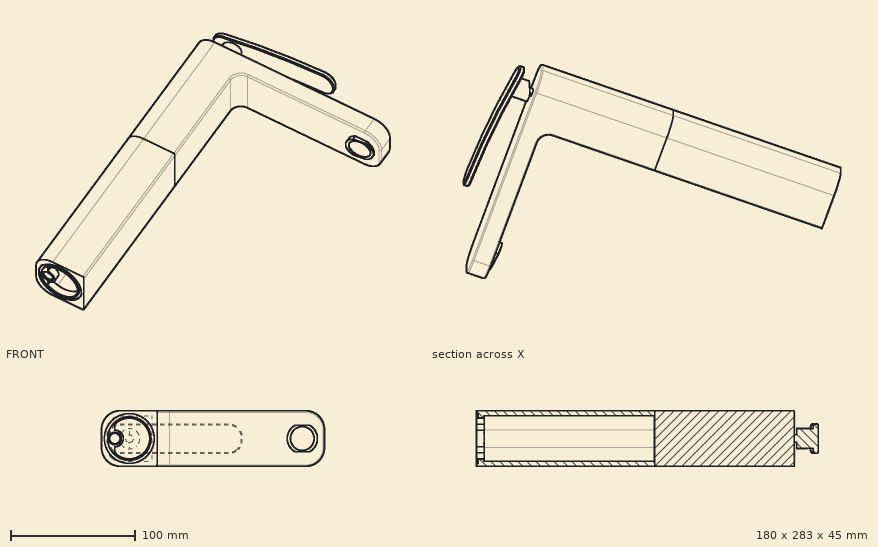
import cadquery as cq


COLUMN_WIDTH = 45.0
HALF_WIDTH = COLUMN_WIDTH / 2
SPOUT_REACH = 180.0
SPOUT_THICKNESS = 15.8
BODY_TOP = 256.5
SEAM_Y = 143.5
CORNER_RADIUS = 15.3
ELBOW_RADIUS = 10.0
EDGE_RADIUS = 1.5
RIM_RADIUS = 1.0
SPOUT_END = SPOUT_REACH - HALF_WIDTH
SPOUT_UNDERSIDE = BODY_TOP - SPOUT_THICKNESS

WALL = 4.2
BASE_THICKNESS = 6.2
SEAL_GROOVE_OUTER_RADIUS = 20.0
SEAL_GROOVE_INNER_RADIUS = 17.5
SEAL_GROOVE_DEPTH = 1.5
OPENING_RADIUS = 16.5
STUD_X = -11.5
STUD_HOLE_RADIUS = 4.2
STUD_HOLE_CHAMFER = 0.8
STUD_HOLE_CHAMFER_ANGLE = 45
STUD_BOSS_RADIUS = 6.8

AERATOR_X = 139.5
AERATOR_RADIUS = 12.2
AERATOR_FLATS = 21.5
AERATOR_DEPTH = 2.8
AERATOR_TILT = 7
AERATOR_FACE_RADIUS = 9.5
AERATOR_FACE_RECESS = 0.5

LEVER_BACK = -16.7
LEVER_TIP = 90.8
LEVER_WIDTH = 23.8
LEVER_TOP = 283
LEVER_BACK_TOP = 273.0
LEVER_THICKNESS = 4.5
LEVER_BOW = 2.3
LEVER_BACK_RADIUS = 8.5
LEVER_TIP_RADIUS = 10.8
LEVER_CHAMFER = 0.8
POST_RADIUS = 8.2
POST_GAP = 1.7
POST_RELIEF_HEIGHT = 3.7
STEM_RADIUS = 3.0


def cylinder_y(radius, start_y, end_y, x=0):
    """Cylinder parallel to Y between two Y positions."""
    return cq.Workplane("XZ", origin=(x, start_y, 0)).circle(radius).extrude(start_y - end_y)


def box_between(x_range, y_range, z_width):
    """Box spanning the X and Y ranges, centred on Z = 0."""
    x_size = x_range[1] - x_range[0]
    y_size = y_range[1] - y_range[0]
    box = cq.Workplane("XY").box(x_size, y_size, z_width, centered=(False, False, True))
    return box.translate((x_range[0], y_range[0], 0))


def make_faucet_envelope():
    """Whole L-shaped outside of column and spout, before it is divided at the seam."""
    envelope = (
        cq.Workplane("XY")
        .moveTo(-HALF_WIDTH, 0)
        .lineTo(HALF_WIDTH, 0)
        .lineTo(HALF_WIDTH, SPOUT_UNDERSIDE)
        .lineTo(SPOUT_END, SPOUT_UNDERSIDE)
        .lineTo(SPOUT_END, BODY_TOP)
        .lineTo(-HALF_WIDTH, BODY_TOP)
        .close()
        .extrude(HALF_WIDTH, both=True)
    )
    envelope = envelope.edges("|Y and (<X or >X)").fillet(CORNER_RADIUS)
    inner_corner = cq.selectors.NearestToPointSelector((HALF_WIDTH, SPOUT_UNDERSIDE, 0))
    envelope = envelope.edges("|Z").edges(inner_corner).fillet(ELBOW_RADIUS)
    column_front_edge = cq.selectors.NearestToPointSelector((HALF_WIDTH, SEAM_Y, HALF_WIDTH))
    envelope = envelope.edges("|Y").edges(column_front_edge).fillet(EDGE_RADIUS)
    return envelope.faces(">Y").edges().fillet(RIM_RADIUS)


def make_spout_body(envelope):
    """Upper body: top of the column with the spout."""
    upper_half = box_between((-HALF_WIDTH, SPOUT_END), (SEAM_Y, BODY_TOP), COLUMN_WIDTH)
    return envelope.intersect(upper_half)


def make_riser_hollow():
    """Inside of the riser, parallel to its outside walls."""
    inner_half = HALF_WIDTH - WALL
    hollow = box_between((-inner_half, inner_half), (BASE_THICKNESS, SEAM_Y), 2 * inner_half)
    return hollow.edges("|Y and <X").fillet(CORNER_RADIUS - WALL)


def make_base_opening():
    """Round hose opening, leaving the plate solid around and behind the stud boss."""
    opening = cylinder_y(OPENING_RADIUS, 0, BASE_THICKNESS)
    front_of_stud = box_between((STUD_X, HALF_WIDTH), (0, BASE_THICKNESS), COLUMN_WIDTH)
    stud_boss = cylinder_y(STUD_BOSS_RADIUS, 0, BASE_THICKNESS, STUD_X)
    return opening.intersect(front_of_stud).cut(stud_boss)


def make_stud_hole():
    """Hole for the fixing stud, chamfered at its mouth."""
    hole = cylinder_y(STUD_HOLE_RADIUS, 0, BASE_THICKNESS, STUD_X)
    mouth = (
        cq.Workplane("XZ", origin=(STUD_X, 0, 0))
        .circle(STUD_HOLE_RADIUS + STUD_HOLE_CHAMFER)
        .extrude(-STUD_HOLE_CHAMFER, taper=STUD_HOLE_CHAMFER_ANGLE)
    )
    return hole.union(mouth)


def make_riser(envelope):
    """Lower body: hollow column with a base plate."""
    lower_half = box_between((-HALF_WIDTH, HALF_WIDTH), (0, SEAM_Y), COLUMN_WIDTH)
    seal_groove = cylinder_y(SEAL_GROOVE_OUTER_RADIUS, 0, SEAL_GROOVE_DEPTH).cut(
        cylinder_y(SEAL_GROOVE_INNER_RADIUS, 0, SEAL_GROOVE_DEPTH)
    )
    return (
        envelope.intersect(lower_half)
        .cut(make_riser_hollow())
        .cut(make_base_opening())
        .cut(make_stud_hole())
        .cut(seal_groove)
    )


def make_aerator():
    """Disc with two flats under the spout end, its lower face tilted and slightly recessed."""
    reach = 2 * AERATOR_RADIUS
    blank_bottom = -2 * AERATOR_DEPTH
    disc = cylinder_y(AERATOR_RADIUS, blank_bottom, 0)
    disc = disc.intersect(box_between((-reach, reach), (blank_bottom, 0), AERATOR_FLATS))
    below = box_between((-reach, reach), (-reach, 0), 2 * reach)
    recess = cylinder_y(AERATOR_FACE_RADIUS, 0, AERATOR_FACE_RECESS)
    tool = below.union(recess).rotate((0, 0, 0), (0, 0, 1), AERATOR_TILT)
    disc = disc.cut(tool.translate((0, -AERATOR_DEPTH, 0)))
    return disc.translate((AERATOR_X, SPOUT_UNDERSIDE, 0))


def lever_bow_middle(y_offset):
    """Midpoint of the lever's upper arc, moved by y_offset."""
    return ((LEVER_BACK + LEVER_TIP) / 2, (LEVER_BACK_TOP + LEVER_TOP) / 2 + LEVER_BOW + y_offset)


def make_lever_blade():
    """Thin bowed blade with rounded ends and chamfered rims."""
    blade = (
        cq.Workplane("XY")
        .moveTo(LEVER_BACK, LEVER_BACK_TOP)
        .threePointArc(lever_bow_middle(0), (LEVER_TIP, LEVER_TOP))
        .lineTo(LEVER_TIP, LEVER_TOP - LEVER_THICKNESS)
        .threePointArc(lever_bow_middle(-LEVER_THICKNESS), (LEVER_BACK, LEVER_BACK_TOP - LEVER_THICKNESS))
        .close()
        .extrude(LEVER_WIDTH / 2, both=True)
    )
    blade = blade.edges("|Y and <X").fillet(LEVER_BACK_RADIUS)
    blade = blade.edges("|Y and >X").fillet(LEVER_TIP_RADIUS)
    top_face = cq.selectors.NearestToPointSelector((*lever_bow_middle(0), 0))
    bottom_face = cq.selectors.NearestToPointSelector((*lever_bow_middle(-LEVER_THICKNESS), 0))
    return blade.faces(top_face + bottom_face).edges().chamfer(LEVER_CHAMFER)


def make_lever():
    """Blade, round post with a slanted relief at the back, and stem standing on the body."""
    post_bottom = BODY_TOP + POST_GAP
    post = cylinder_y(POST_RADIUS, post_bottom, LEVER_BACK_TOP)
    relief = (
        cq.Workplane("XY")
        .moveTo(0, post_bottom)
        .lineTo(-POST_RADIUS, post_bottom)
        .lineTo(-POST_RADIUS, post_bottom + POST_RELIEF_HEIGHT)
        .close()
        .extrude(POST_RADIUS, both=True)
    )
    stem = cylinder_y(STEM_RADIUS, BODY_TOP, LEVER_BACK_TOP)
    return make_lever_blade().union(post.cut(relief)).union(stem)


faucet_envelope = make_faucet_envelope()
spout_body = make_spout_body(faucet_envelope)
riser = make_riser(faucet_envelope)
aerator = make_aerator()
lever = make_lever()

result = cq.Compound.makeCompound([spout_body.val(), riser.val(), aerator.val(), lever.val()])